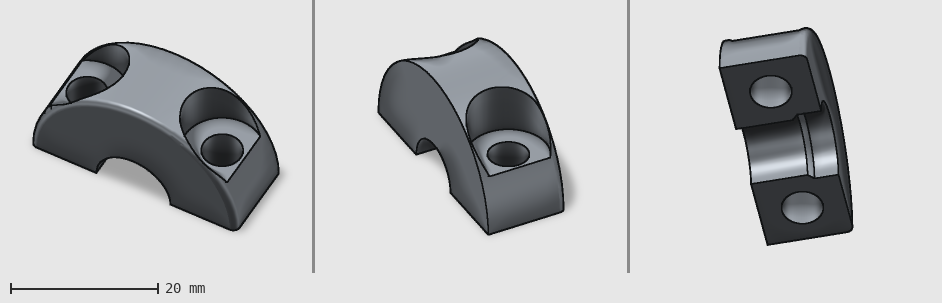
import cadquery as cq

outer_radius = 16.0
width = 12.0
front_fillet = 1.0

bore_radius = 4.95
front_bore_radius = 5.75
front_bore_depth = 3.33

screw_offset = 10.5
screw_hole_diameter = 5.7
head_diameter = 11.5
seat_height = outer_radius / 2


def stepped_bore():
    """Bore along Y, revolved from its half profile of radius against Y."""
    front = -width / 2
    cone_start = front + front_bore_depth
    cone_end = cone_start + front_bore_radius - bore_radius
    profile = [
        (0, front),
        (front_bore_radius, front),
        (front_bore_radius, cone_start),
        (bore_radius, cone_end),
        (bore_radius, width / 2),
        (0, width / 2),
    ]
    return cq.Workplane("XY").polyline(profile).close().revolve(360, (0, 0, 0), (0, 1, 0))


def half_ring():
    """Upper half of a ring, centred on Y, with the front outer rim rounded."""
    disc = cq.Workplane("XZ", origin=(0, width / 2, 0)).circle(outer_radius).extrude(width)
    disc = disc.edges("<Y").fillet(front_fillet)
    ring = disc.cut(stepped_bore())
    upper_half = cq.Workplane("XY").box(
        2 * outer_radius, width, outer_radius, centered=(True, True, False)
    )
    return ring.intersect(upper_half)


def screw_cutter(x):
    """Vertical through hole with a flat-bottomed pocket for the screw head."""
    hole = cq.Workplane("XY").center(x, 0).circle(screw_hole_diameter / 2).extrude(outer_radius)
    head = (
        cq.Workplane("XY", origin=(x, 0, seat_height))
        .circle(head_diameter / 2)
        .extrude(outer_radius - seat_height)
    )
    return hole.union(head)


result = half_ring()
for side in (-1, 1):
    result = result.cut(screw_cutter(side * screw_offset))